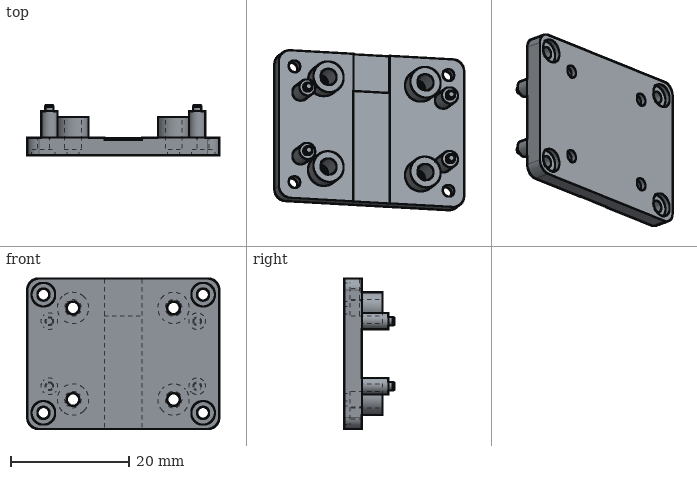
import cadquery as cq

PLATE_WIDTH = 32.5
PLATE_HEIGHT = 25.5
PLATE_THICKNESS = 3.0
CORNER_RADIUS = 2.0

MOUNT_SPACING = (27.0, 20.0)
MOUNT_HOLE_DIAMETER = 2.0
COUNTERBORE_DIAMETER = 4.0
COUNTERBORE_DEPTH = 1.0

BOSS_SPACING = (17.0, 15.5)
BOSS_DIAMETER = 5.3
BOSS_HEIGHT = 3.5
BOSS_BORE_DIAMETER = 2.8
BOSS_HOLE_DIAMETER = 2.1
BOSS_HOLE_DEPTH = 1.0

POST_SPACING = (25.0, 11.0)
POST_DIAMETER = 2.8
POST_HEIGHT = 4.5
PIN_DIAMETER = 1.45
PIN_HEIGHT = 1.0
PIN_TIP_LENGTH = 0.3
PIN_TIP_INSET = 0.175

CHANNEL_WIDTH = 6.4
CHANNEL_DEPTH = 0.1
NOTCH_DEPTH = 0.4
NOTCH_HEIGHT = CHANNEL_WIDTH


def rear_plane(y):
    """Workplane at the given Y that extrudes toward +Y; its local y runs along -Z."""
    return cq.Workplane(cq.Plane(origin=(0, y, 0), xDir=(1, 0, 0), normal=(0, 1, 0)))


def cylinders(spacing, diameter, start_y, length):
    """Four cylinders on a rectangular pattern, running toward +Y from start_y."""
    pattern = rear_plane(start_y).rarray(spacing[0], spacing[1], 2, 2)
    return pattern.circle(diameter / 2).extrude(length)


def make_plate():
    blank = rear_plane(0).rect(PLATE_WIDTH, PLATE_HEIGHT).extrude(PLATE_THICKNESS)
    return blank.edges("|Y").fillet(CORNER_RADIUS)


def add_bosses(body):
    boss_length = PLATE_THICKNESS + BOSS_HEIGHT
    body = body.union(cylinders(BOSS_SPACING, BOSS_DIAMETER, 0, boss_length))
    body = body.cut(cylinders(BOSS_SPACING, BOSS_HOLE_DIAMETER, 0, BOSS_HOLE_DEPTH))
    bore_length = boss_length - BOSS_HOLE_DEPTH
    return body.cut(cylinders(BOSS_SPACING, BOSS_BORE_DIAMETER, BOSS_HOLE_DEPTH, bore_length))


def add_posts(body):
    """Add the posts, each carrying a thinner pin with a bevelled tip."""
    post_length = PLATE_THICKNESS + POST_HEIGHT
    body = body.union(cylinders(POST_SPACING, POST_DIAMETER, 0, post_length))
    pins = cylinders(POST_SPACING, PIN_DIAMETER, post_length, PIN_HEIGHT)
    pins = pins.faces(">Y").edges().chamfer(PIN_TIP_LENGTH, PIN_TIP_INSET)
    return body.union(pins)


def cut_mounting_holes(body):
    body = body.cut(cylinders(MOUNT_SPACING, MOUNT_HOLE_DIAMETER, 0, PLATE_THICKNESS))
    return body.cut(cylinders(MOUNT_SPACING, COUNTERBORE_DIAMETER, 0, COUNTERBORE_DEPTH))


def cut_from_top_edge(body, depth, height):
    """Cut a channel-wide strip into the rear face, running down from the top edge."""
    strip = rear_plane(PLATE_THICKNESS - depth).center(0, (height - PLATE_HEIGHT) / 2)
    return body.cut(strip.rect(CHANNEL_WIDTH, height).extrude(depth))


def cut_channel(body):
    body = cut_from_top_edge(body, CHANNEL_DEPTH, PLATE_HEIGHT)
    return cut_from_top_edge(body, NOTCH_DEPTH, NOTCH_HEIGHT)


result = make_plate()
result = add_bosses(result)
result = add_posts(result)
result = cut_mounting_holes(result)
result = cut_channel(result)